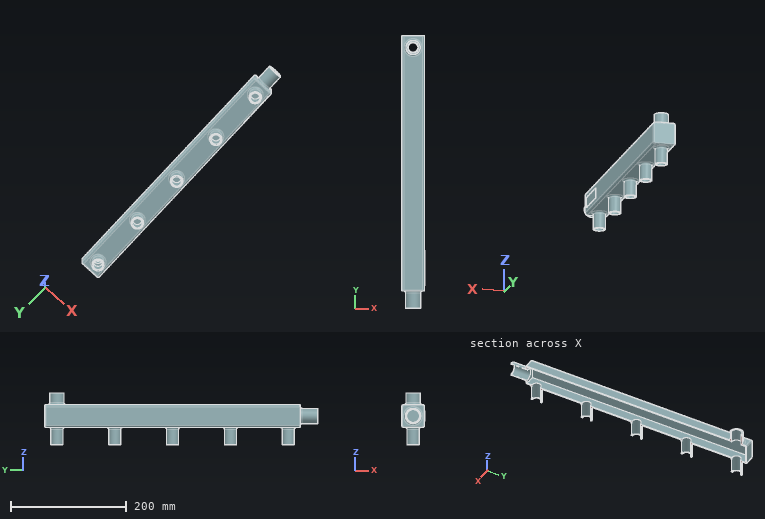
import cadquery as cq

BODY_SIDE = 40.0
BODY_LENGTH = 442.0
BODY_CORNER_RADIUS = 4.0
BODY_END_RADIUS = 2.0
WALL = 3.0

INLET_OUTER = 26.8
INLET_BORE = 22.0
INLET_MOUTH_BEVEL = 0.5
INLET_LENGTH = 30.0

RISER_OUTER = 25.0
RISER_BORE = 18.63
RISER_LENGTH = 20.0

OUTLET_OUTER = 21.3
OUTLET_BORE = 16.3
OUTLET_LENGTH = 30.0
OUTLET_COUNT = 5
OUTLET_PITCH = 100.0

TIP_BEVEL = 0.5
WELD_RADIUS = 3.0

PLATE_LENGTH = 60.0
PLATE_HEIGHT = 18.0
PLATE_THICKNESS = 0.55
PLATE_END_GAP = 10.0

HALF_SIDE = BODY_SIDE / 2
OUTLET_END_GAP = (BODY_LENGTH - (OUTLET_COUNT - 1) * OUTLET_PITCH) / 2
OUTLET_POSITIONS = [OUTLET_END_GAP + i * OUTLET_PITCH for i in range(OUTLET_COUNT)]
RISER_POSITION = OUTLET_POSITIONS[-1]

INLET_PLANE = cq.Plane(origin=(0, 0, 0), xDir=(1, 0, 0), normal=(0, -1, 0))
RISER_PLANE = cq.Plane(origin=(0, RISER_POSITION, HALF_SIDE), xDir=(1, 0, 0), normal=(0, 0, 1))


def outlet_plane(position):
    return cq.Plane(origin=(0, position, -HALF_SIDE), xDir=(1, 0, 0), normal=(0, 0, -1))


def box_along_body(side, length):
    return cq.Workplane("XY").box(side, length, side).translate((0, BODY_LENGTH / 2, 0))


def make_body():
    """Closed square tube with rounded long edges and rounded ends."""
    outside = box_along_body(BODY_SIDE, BODY_LENGTH)
    outside = outside.edges("|Y").fillet(BODY_CORNER_RADIUS)
    outside = outside.faces("<Y or >Y").edges().fillet(BODY_END_RADIUS)
    cavity = box_along_body(BODY_SIDE - 2 * WALL, BODY_LENGTH - 2 * WALL)
    return outside.cut(cavity)


def make_stub_solid(outer_radius, length):
    """Solid stub standing on the XY plane, with a concave weld fillet at its foot and a bevelled tip."""
    profile = (
        cq.Workplane("XZ")
        .moveTo(0, 0)
        .lineTo(outer_radius + WELD_RADIUS, 0)
        .radiusArc((outer_radius, WELD_RADIUS), WELD_RADIUS)
        .lineTo(outer_radius, length - TIP_BEVEL)
        .lineTo(outer_radius - TIP_BEVEL, length)
        .lineTo(0, length)
        .close()
    )
    return profile.revolve(360, (0, 0, 0), (0, 1, 0))


def add_stub(body, plane, outer, bore, length):
    """Weld a stub on the body and bore it through into the cavity."""
    stub = make_stub_solid(outer / 2, length).val().moved(plane.location)
    hole = cq.Workplane(plane).workplane(offset=-WALL).circle(bore / 2).extrude(WALL + length)
    return body.union(cq.Workplane(obj=stub)).cut(hole)


def bevel_inlet_mouth(body):
    bore_radius = INLET_BORE / 2
    mouth_radius = bore_radius + INLET_MOUTH_BEVEL
    foot = cq.Vector(0, 0, INLET_LENGTH - INLET_MOUTH_BEVEL)
    cone = cq.Solid.makeCone(bore_radius, mouth_radius, INLET_MOUTH_BEVEL, foot)
    return body.cut(cq.Workplane(obj=cone.moved(INLET_PLANE.location)))


def make_plate():
    centre_y = PLATE_END_GAP + PLATE_LENGTH / 2
    plate = cq.Workplane("XY").box(2 * PLATE_THICKNESS, PLATE_LENGTH, PLATE_HEIGHT)
    return plate.translate((HALF_SIDE, centre_y, 0))


result = make_body()
result = add_stub(result, INLET_PLANE, INLET_OUTER, INLET_BORE, INLET_LENGTH)
result = bevel_inlet_mouth(result)
result = add_stub(result, RISER_PLANE, RISER_OUTER, RISER_BORE, RISER_LENGTH)
for position in OUTLET_POSITIONS:
    result = add_stub(result, outlet_plane(position), OUTLET_OUTER, OUTLET_BORE, OUTLET_LENGTH)
result = result.union(make_plate())